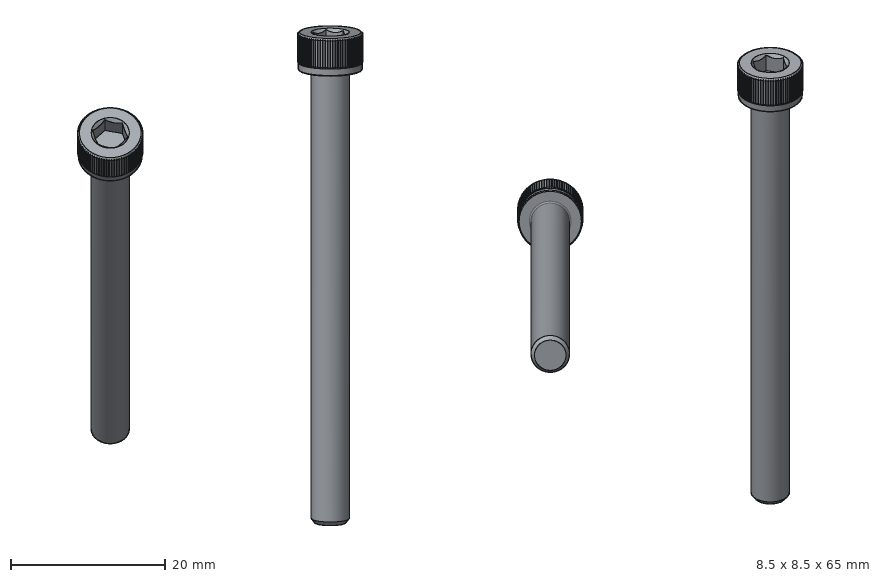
import cadquery as cq
import math

total_length = 65.0
shank_diameter = 5.0
head_diameter = 8.5
head_height = shank_diameter
head_base_z = total_length - head_height

tip_chamfer_height = 0.6
tip_chamfer_width = 0.45
head_top_chamfer = 0.25
head_base_chamfer = 0.1
neck_fillet = 0.2

groove_count = 80
groove_depth = 0.1
groove_width = 0.1
plain_band_height = 1.0
knurl_bevel_height = 0.2

hex_across_flats = 4.0
socket_depth = 2.5
socket_mouth_diameter = 4.95
socket_mouth_depth = 0.8

shank_radius = shank_diameter / 2
head_radius = head_diameter / 2
band_radius = head_radius - groove_depth
band_top_z = head_base_z + plain_band_height


def screw_body():
    """Shank and head turned about Z, with a bevel from the plain band out to the knurl."""
    fillet_mid = neck_fillet * (1 - math.sqrt(0.5))
    return (
        cq.Workplane("XZ")
        .moveTo(0, 0)
        .lineTo(shank_radius - tip_chamfer_width, 0)
        .lineTo(shank_radius, tip_chamfer_height)
        .lineTo(shank_radius, head_base_z - neck_fillet)
        .threePointArc(
            (shank_radius + fillet_mid, head_base_z - fillet_mid),
            (shank_radius + neck_fillet, head_base_z),
        )
        .lineTo(band_radius - head_base_chamfer, head_base_z)
        .lineTo(band_radius, head_base_z + head_base_chamfer)
        .lineTo(band_radius, band_top_z)
        .lineTo(head_radius, band_top_z + knurl_bevel_height)
        .lineTo(head_radius, total_length - head_top_chamfer)
        .lineTo(head_radius - head_top_chamfer, total_length)
        .lineTo(0, total_length)
        .close()
        .revolve(360, (0, 0, 0), (0, 1, 0))
    )


def knurl_grooves():
    """V grooves along Z, evenly spaced around the head above the plain band."""
    mouth_radius = head_radius + groove_depth
    half_mouth = groove_width
    groove = (
        cq.Workplane("XY", origin=(0, 0, band_top_z))
        .polyline([(band_radius, 0), (mouth_radius, -half_mouth), (mouth_radius, half_mouth)])
        .close()
        .extrude(total_length - band_top_z)
    )
    pitch_angle = 360 / groove_count
    solids = []
    for index in range(groove_count):
        turned = groove.rotate((0, 0, 0), (0, 0, 1), index * pitch_angle)
        solids.append(turned.val())
    return cq.Compound.makeCompound(solids)


def hex_socket():
    """Flat-bottomed hexagon socket."""
    across_corners = hex_across_flats / math.cos(math.pi / 6)
    return (
        cq.Workplane("XY", origin=(0, 0, total_length - socket_depth))
        .transformed(rotate=(0, 0, 90))
        .polygon(6, across_corners)
        .extrude(socket_depth)
    )


def socket_mouth():
    """Truncated 45 degree cone that countersinks the mouth of the hexagon socket."""
    mouth_radius = socket_mouth_diameter / 2
    floor_radius = mouth_radius - socket_mouth_depth
    cone = cq.Solid.makeCone(
        mouth_radius,
        floor_radius,
        socket_mouth_depth,
        pnt=cq.Vector(0, 0, total_length),
        dir=cq.Vector(0, 0, -1),
    )
    return cq.Workplane(obj=cone)


socket = hex_socket().union(socket_mouth())
result = screw_body().cut(cq.Workplane(obj=knurl_grooves())).cut(socket)